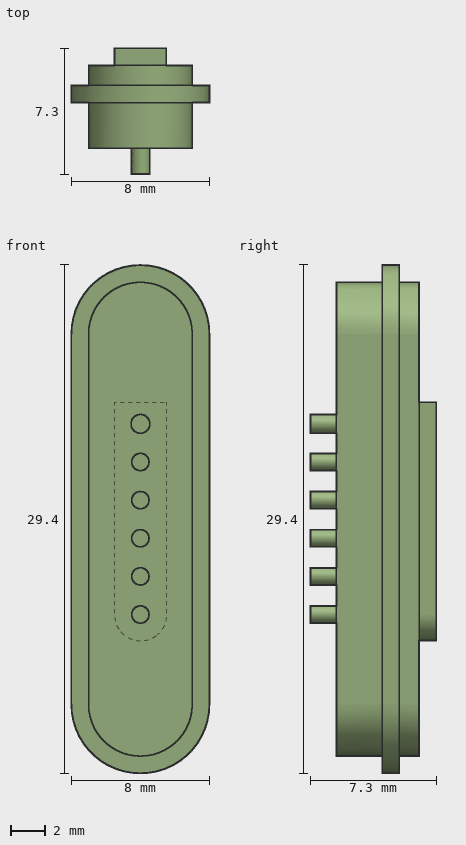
import cadquery as cq

flange_height = 29.4
flange_width = 8.0
flange_thickness = 1.0
flange_overhang = 1.0
front_depth = 2.65
rear_depth = 1.15

pin_count = 6
pin_pitch = 2.2
pin_length = 1.5
pin_diameter = 1.0
top_pin_diameter = 1.1

key_width = 3.0
key_depth = 1.0
key_top = 6.75
key_arc_center = -5.53

body_height = flange_height - 2 * flange_overhang
body_width = flange_width - 2 * flange_overhang
body_depth = front_depth + flange_thickness + rear_depth
key_radius = key_width / 2


def plane_at(y):
    """XZ plane at the given Y, with its normal toward +Y and local y along -Z."""
    return cq.Workplane(cq.Plane(origin=(0, y, 0), xDir=(1, 0, 0), normal=(0, 1, 0)))


def capsule(height, width, y, depth):
    """Upright round-ended slab, extruded toward +Y."""
    return plane_at(y).slot2D(height, width, 90).extrude(depth)


def contact_pins():
    """Vertical row of pins on the front face, the top one slightly thicker."""
    pins = cq.Workplane()
    top_z = (pin_count - 1) / 2 * pin_pitch
    for index in range(pin_count):
        diameter = top_pin_diameter if index == 0 else pin_diameter
        pin_z = top_z - index * pin_pitch
        pin = plane_at(-pin_length).center(0, -pin_z).circle(diameter / 2).extrude(pin_length)
        pins = pins.add(pin)
    return pins.combine()


def rear_key():
    """Pad on the rear face with a square top and a full-round lower end."""
    return (
        plane_at(body_depth)
        .moveTo(-key_radius, -key_top)
        .lineTo(key_radius, -key_top)
        .lineTo(key_radius, -key_arc_center)
        .threePointArc((0, key_radius - key_arc_center), (-key_radius, -key_arc_center))
        .close()
        .extrude(key_depth)
    )


body = capsule(body_height, body_width, 0, body_depth)
flange = capsule(flange_height, flange_width, front_depth, flange_thickness)

result = body.union(flange).union(contact_pins()).union(rear_key())